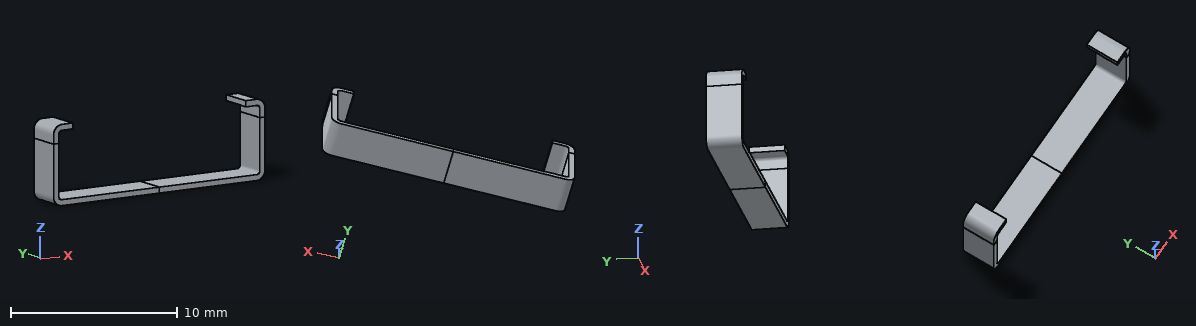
import cadquery as cq

length = 15.15
width = 2.2
height = 5.0

thickness = 0.38
outer_radius = 0.6
inner_radius = outer_radius - thickness

lip_length = 1.4
hook_height = 1.15

half_length = length / 2
half_height = height / 2
joint_height = height - hook_height


def bent_strip(floor_length, wall_height):
    """L-shaped strip with its outer corner at the origin, running along +X and +Z."""
    corner = cq.Workplane("XZ").rect(floor_length, wall_height, centered=False)
    strip = corner.extrude(width / 2, both=True).edges("<X and <Z").fillet(outer_radius)
    inside = (
        cq.Workplane("XZ")
        .center(thickness, thickness)
        .rect(floor_length, wall_height, centered=False)
        .extrude(width, both=True)
        .edges("<X and <Z")
        .fillet(inner_radius)
    )
    return strip.cut(inside)


def base_half():
    """Left half of the floor with the lower part of the left wall."""
    return bent_strip(half_length, joint_height).translate((-half_length, 0, -half_height))


def hook():
    """Top of the left wall, bent inward into a short lip."""
    return bent_strip(lip_length, hook_height).mirror("XY").translate((-half_length, 0, half_height))


bodies = []
for left_body in (base_half(), hook()):
    right_body = left_body.mirror("YZ")
    bodies += [left_body.val(), right_body.val()]

result = cq.Compound.makeCompound(bodies)